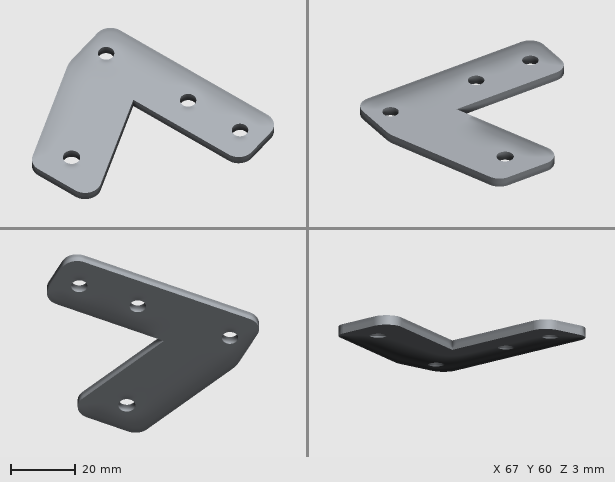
import cadquery as cq
import math

length = 67.0
depth = 60.0
thickness = 3.0
arm_width = 20.0
inner_corner_x = 25.0
leg_angle = 20.0
corner_radius = 5.0
bend_radius = 10.05
arm_hole_diameter = 5.1
leg_hole_diameter = 5.35
arm_hole_xs = (7.05, 38.7, 58.8)

arm_bottom = depth - arm_width
arm_hole_y = depth - arm_width / 2
leg_hole_y = arm_width / 2
leg_slope = math.tan(math.radians(leg_angle))
leg_shift = arm_bottom * leg_slope
leg_hole_x = inner_corner_x / 2 + (arm_bottom - leg_hole_y) * leg_slope


def round_corner(plate, x, y, radius):
    """Round the upright edge nearest to (x, y)."""
    corner = cq.selectors.NearestToPointSelector((x, y, thickness / 2))
    edge = plate.edges("|Z").edges(corner)
    return edge.fillet(radius)


def make_plate():
    """Straight arm with a slanted leg; the inner corner stays sharp."""
    outer_bend = (0, arm_bottom)
    rounded_corners = [
        (0, depth),
        (length, depth),
        (length, arm_bottom),
        (leg_shift + inner_corner_x, 0),
        (leg_shift, 0),
    ]
    top_left, top_right, arm_end, leg_right, leg_left = rounded_corners
    inner_corner = (inner_corner_x, arm_bottom)
    outline = [top_left, top_right, arm_end, inner_corner, leg_right, leg_left, outer_bend]
    plate = cq.Workplane("XY").polyline(outline).close().extrude(thickness)
    for x, y in rounded_corners:
        plate = round_corner(plate, x, y, corner_radius)
    return round_corner(plate, *outer_bend, bend_radius)


def through_holes(places, diameter):
    """Cylinders that cut through the full plate thickness."""
    return cq.Workplane("XY").pushPoints(places).circle(diameter / 2).extrude(thickness)


arm_holes = through_holes([(x, arm_hole_y) for x in arm_hole_xs], arm_hole_diameter)
leg_hole = through_holes([(leg_hole_x, leg_hole_y)], leg_hole_diameter)

result = make_plate().cut(arm_holes).cut(leg_hole)